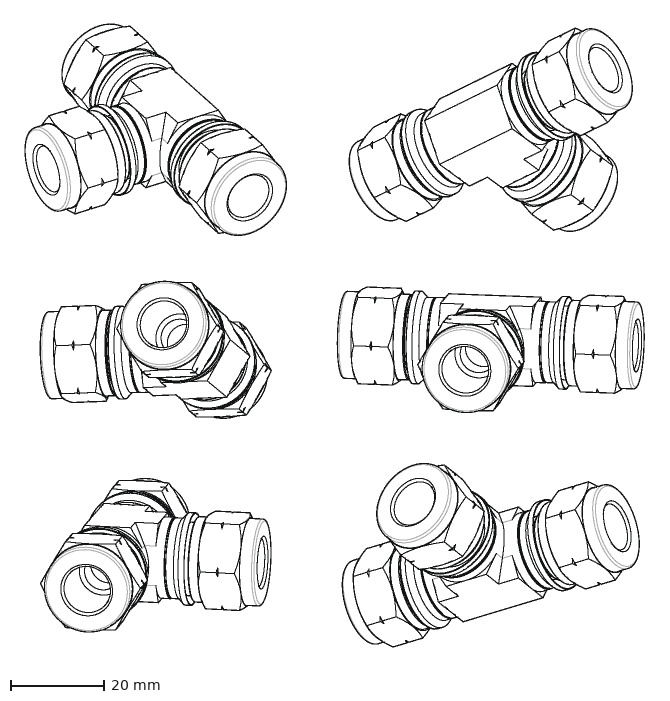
import cadquery as cq
import math

arm_reach = 31.8

body_flats = 17.5
body_reach = 10.05
body_radius = body_flats / 2

shoulder_end = 12.1
collar_start = 12.4
collar_radius = 17.4 / 2
groove_radius = 17.0 / 2
cone_start = 14.15
flange_start = 15.4
flange_end = 16.7
flange_radius = 19.9 / 2
neck_radius = 15.85 / 2
lip_width = 0.2
relief_radius = 14.6 / 2
relief_end = 15.9
root_radius = 14.2 / 2
root_end = 15.15
dish_depth = flange_radius - lip_width - root_radius

sleeve_start = 17.4
sleeve_radius = 18.4 / 2
sleeve_chamfer = 0.2
hex_start = 19.6
hex_end = 28.8
hex_flats = 19.0
hex_chamfer_angle = 30
tip_radius = 18.7 / 2
tip_fillet = 0.45
corner_notch_depth = 0.5
corner_notch_half_width = 0.25

mouth_radius = 11.3 / 2
tube_radius = 10.2 / 2
tube_depth = 16.55
bore_radius = 7.9 / 2
bore_depth = 22.9


def corner_radius(across_flats):
    """Distance from the centre of a hexagon to its corners."""
    return across_flats / 2 / math.cos(math.radians(30))


def revolve_profile(points):
    """Turn (radius, height) points around the Z axis."""
    return cq.Workplane("XZ").polyline(points).close().revolve(360, (0, 0, 0), (0, 1, 0))


def body_arm(both_corners_rounded):
    """Upright body bar with flats facing +Y and -Y and the +X corner rounded."""
    flat_half_width = corner_radius(body_flats) / 2
    tangent_x = body_radius * math.cos(math.radians(30))
    tangent_y = body_radius * math.sin(math.radians(30))
    outline = (
        cq.Workplane("XY")
        .moveTo(-flat_half_width, body_radius)
        .lineTo(flat_half_width, body_radius)
        .lineTo(tangent_x, tangent_y)
        .threePointArc((body_radius, 0), (tangent_x, -tangent_y))
        .lineTo(flat_half_width, -body_radius)
        .lineTo(-flat_half_width, -body_radius)
    )
    if both_corners_rounded:
        outline = outline.lineTo(-tangent_x, -tangent_y).threePointArc(
            (-body_radius, 0), (-tangent_x, tangent_y)
        )
    else:
        outline = outline.lineTo(-corner_radius(body_flats), 0)
    return outline.close().extrude(body_reach)


def turned_arm():
    """Shoulder, groove, collar, dished flange, relieved neck and nut sleeves."""
    profile = [
        (0, body_reach),
        (body_radius, body_reach),
        (body_radius, shoulder_end),
        (groove_radius, shoulder_end),
        (groove_radius, collar_start),
        (collar_radius, collar_start),
        (collar_radius, cone_start),
        (flange_radius, flange_start),
        (flange_radius, flange_end),
        (flange_radius - lip_width, flange_end),
        (root_radius, flange_end - dish_depth),
        (root_radius, root_end),
        (relief_radius, root_end),
        (relief_radius, relief_end),
        (neck_radius, relief_end),
        (neck_radius, sleeve_start),
        (sleeve_radius - sleeve_chamfer, sleeve_start),
        (sleeve_radius, sleeve_start + sleeve_chamfer),
        (sleeve_radius, hex_start),
        (tip_radius, hex_start),
        (tip_radius, arm_reach),
        (0, arm_reach),
    ]
    return revolve_profile(profile).faces(">Z").edges().fillet(tip_fillet)


def nut_hexagon():
    """Hexagon with conical chamfers at both ends and V notches on its corners."""
    outer = corner_radius(hex_flats)
    inner = hex_flats / 2
    drop = (outer - inner) * math.tan(math.radians(hex_chamfer_angle))
    middle = (hex_start + hex_end) / 2
    envelope = revolve_profile([
        (0, hex_start),
        (inner, hex_start),
        (outer, hex_start + drop),
        (outer, middle - corner_notch_half_width),
        (outer - corner_notch_depth, middle),
        (outer, middle + corner_notch_half_width),
        (outer, hex_end - drop),
        (inner, hex_end),
        (0, hex_end),
    ])
    hexagon = (
        cq.Workplane("XY")
        .workplane(offset=hex_start)
        .polygon(6, 2 * outer)
        .extrude(hex_end - hex_start)
    )
    return hexagon.intersect(envelope)


def port_cutter():
    """Chamfered mouth, tube socket and narrower blind bore."""
    mouth_depth = mouth_radius - tube_radius
    return revolve_profile([
        (0, arm_reach),
        (mouth_radius, arm_reach),
        (tube_radius, arm_reach - mouth_depth),
        (tube_radius, arm_reach - tube_depth),
        (bore_radius, arm_reach - tube_depth),
        (bore_radius, arm_reach - bore_depth),
        (0, arm_reach - bore_depth),
    ])


def aim_forward(shape):
    """Lay an upright arm down toward -Y, keeping its X side on X."""
    return shape.rotate((0, 0, 0), (1, 0, 0), 90)


def aim_left(shape):
    """Lay an upright arm down toward -X, its +X side turned to -Y."""
    return aim_forward(shape).rotate((0, 0, 0), (0, 0, 1), -90)


def aim_right(shape):
    """Lay an upright arm down toward +X, its +X side turned to -Y."""
    return aim_left(shape).mirror("YZ")


fitting = turned_arm().union(nut_hexagon())
run_arm = body_arm(both_corners_rounded=False).union(fitting)
branch_arm = body_arm(both_corners_rounded=True).union(fitting)
port = port_cutter()

result = aim_left(run_arm).union(aim_right(run_arm)).union(aim_forward(branch_arm))
for aim in (aim_left, aim_right, aim_forward):
    result = result.cut(aim(port))